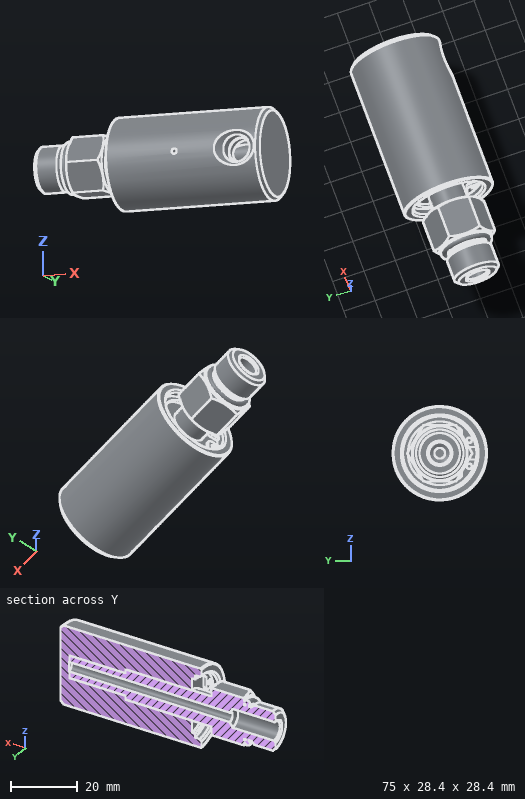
import cadquery as cq
import math

total_length = 75.0

thread_dia = 14.25
thread_tip_dia = 12.15
thread_end = 8.55
thread_chamfer = (thread_dia - thread_tip_dia) / 2
o_ring_outer_dia = 16.2
o_ring_section_dia = 2.1
hex_start = 11.0
hex_end = 22.5
hex_across_flats = 16.95
hex_across_corners = hex_across_flats / math.cos(math.radians(30))
hex_face_dia = 16.65
hex_chamfer_length = 0.8
shaft_dia = 11.0
tail_dia = 8.25
shoulder_x = 52.5
tail_end = 72.0

mouth_dia = 7.6
bore_dia = 6.5
bore_depth = 15.0
bore_tip_angle = 118.0
passage_dia = 3.2

housing_start = 25.8
housing_dia = 28.35
front_chamfer = 0.3
back_chamfer = 1.1

recess_mouth_dia = 23.3
recess_dia = 22.05
ring_depth = 2.3
ring_thickness = 1.0
ring_inner_dia = 19.1
lug_inner_y = 6.75
ring_gap = 3.8
lug_corner_radius = 1.5
lug_hole_dia = 1.6
lug_hole_y = 8.85
lug_hole_z = 3.9

port_x = 67.0
port_mouth_dia = 8.4
port_dia = 7.95
port_mouth_bottom_y = -7.3
port_bottom_y = -3.6
port_tip_angle = 130.0
port_sink_dia = 12.8
vent_x = 47.9
vent_dia = 1.6


def turned(profile):
    """Solid of revolution about the X axis from (x, radius) points."""
    return cq.Workplane("XY").polyline(profile).close().revolve(360, (0, 0, 0), (1, 0, 0))


def rod(diameter, start, end):
    """Cylinder on the X axis."""
    return cq.Workplane("YZ", origin=(start, 0, 0)).circle(diameter / 2).extrude(end - start)


def cone_length(large_dia, small_dia, included_angle):
    """Axial length of a cone between two diameters."""
    return (large_dia - small_dia) / 2 / math.tan(math.radians(included_angle / 2))


def threaded_end():
    """Plain cylinder for the thread, chamfered at both ends, with the neck up to the hexagon."""
    tip_r = thread_tip_dia / 2
    body_r = thread_dia / 2
    return turned([
        (0, 0),
        (0, tip_r),
        (thread_chamfer, body_r),
        (thread_end - thread_chamfer, body_r),
        (thread_end, tip_r),
        (hex_start, tip_r),
        (hex_start, 0),
    ])


def o_ring():
    """O-ring resting on the neck behind the thread and against the hexagon."""
    section_r = o_ring_section_dia / 2
    return (
        cq.Workplane("XY")
        .moveTo(hex_start - section_r, o_ring_outer_dia / 2 - section_r)
        .circle(section_r)
        .revolve(360, (0, 0, 0), (1, 0, 0))
    )


def hexagon():
    """Hexagonal prism with conical chamfers on both end faces."""
    prism = (
        cq.Workplane("YZ", origin=(hex_start, 0, 0))
        .polygon(6, hex_across_corners)
        .extrude(hex_end - hex_start)
    )
    face_r = hex_face_dia / 2
    corner_r = hex_across_corners / 2
    envelope = turned([
        (hex_start, 0),
        (hex_start, face_r),
        (hex_start + hex_chamfer_length, corner_r),
        (hex_end - hex_chamfer_length, corner_r),
        (hex_end, face_r),
        (hex_end, 0),
    ])
    return prism.intersect(envelope)


def stepped_shaft():
    """Shaft and tail; also the shape of the seat that the housing holds them in."""
    return rod(shaft_dia, hex_end, shoulder_x).union(rod(tail_dia, shoulder_x, tail_end))


def nipple_bore():
    """Chamfered entry bore, narrowing through a cone to a passage along the whole tail."""
    mouth_depth = (mouth_dia - bore_dia) / 2
    return turned([
        (0, 0),
        (0, mouth_dia / 2),
        (mouth_depth, bore_dia / 2),
        (bore_depth, bore_dia / 2),
        (bore_depth + cone_length(bore_dia, passage_dia, bore_tip_angle), passage_dia / 2),
        (tail_end, passage_dia / 2),
        (tail_end, 0),
    ])


def make_nipple():
    body = threaded_end().union(o_ring()).union(hexagon()).union(stepped_shaft())
    return body.cut(nipple_bore())


def housing_blank():
    r = housing_dia / 2
    return turned([
        (housing_start, 0),
        (housing_start, r - front_chamfer),
        (housing_start + front_chamfer, r),
        (total_length - back_chamfer, r),
        (total_length, r - back_chamfer),
        (total_length, 0),
    ])


def recess():
    """Round pocket with a chamfered mouth, as deep as the back of the retaining ring."""
    mouth_depth = (recess_mouth_dia - recess_dia) / 2
    bottom = housing_start + ring_depth + ring_thickness
    return turned([
        (housing_start, 0),
        (housing_start, recess_mouth_dia / 2),
        (housing_start + mouth_depth, recess_dia / 2),
        (bottom, recess_dia / 2),
        (bottom, 0),
    ])


def ring_lug():
    """Lug on the +Z side of the ring gap, with its free corner rounded."""
    outer_y = recess_dia / 2
    height = ring_inner_dia / 2 - ring_gap / 2
    return (
        cq.Workplane("YZ", origin=(housing_start + ring_depth, 0, 0))
        .moveTo(-outer_y, ring_gap / 2)
        .rect(outer_y - lug_inner_y, height, centered=False)
        .extrude(ring_thickness)
        .edges("|X").edges(">Y and <Z").fillet(lug_corner_radius)
    )


def retaining_ring():
    """Flat ring, open on its -Y side between two mirrored lugs with holes for pliers."""
    start = housing_start + ring_depth
    end = start + ring_thickness
    disc = rod(recess_dia, start, end)
    gap = (
        cq.Workplane("YZ", origin=(start, 0, 0))
        .center(-recess_dia / 2, 0)
        .rect(recess_dia, ring_gap)
        .extrude(ring_thickness)
    )
    band = disc.cut(rod(ring_inner_dia, start, end)).cut(gap)
    lugs = ring_lug().union(ring_lug().mirror("XY")).intersect(disc)
    ring = band.union(lugs)
    for hole_z in (lug_hole_z, -lug_hole_z):
        ring = ring.cut(rod(lug_hole_dia, start, end).translate((0, -lug_hole_y, hole_z)))
    return ring


def side_port():
    """Countersunk stepped hole whose conical tip breaks into the nipple seat."""
    surface_y = -housing_dia / 2
    sink_depth = (port_sink_dia - port_mouth_dia) / 2
    tip_y = port_bottom_y + cone_length(port_dia, 0, port_tip_angle)
    profile = [
        (0, surface_y),
        (port_sink_dia / 2, surface_y),
        (port_mouth_dia / 2, surface_y + sink_depth),
        (port_mouth_dia / 2, port_mouth_bottom_y),
        (port_dia / 2, port_mouth_bottom_y),
        (port_dia / 2, port_bottom_y),
        (0, tip_y),
    ]
    return (
        cq.Workplane("XY", origin=(port_x, 0, 0)).polyline(profile).close()
        .revolve(360, (0, 0, 0), (0, 1, 0))
    )


def vent_hole():
    """Radial hole from the outer surface to the nipple seat."""
    return cq.Workplane("XZ", origin=(vent_x, 0, 0)).circle(vent_dia / 2).extrude(housing_dia / 2)


def make_housing():
    body = housing_blank().cut(recess()).union(retaining_ring())
    return body.cut(stepped_shaft()).cut(side_port()).cut(vent_hole())


nipple = make_nipple()
housing = make_housing()

result = cq.Compound.makeCompound([nipple.solids().val(), housing.solids().val()])